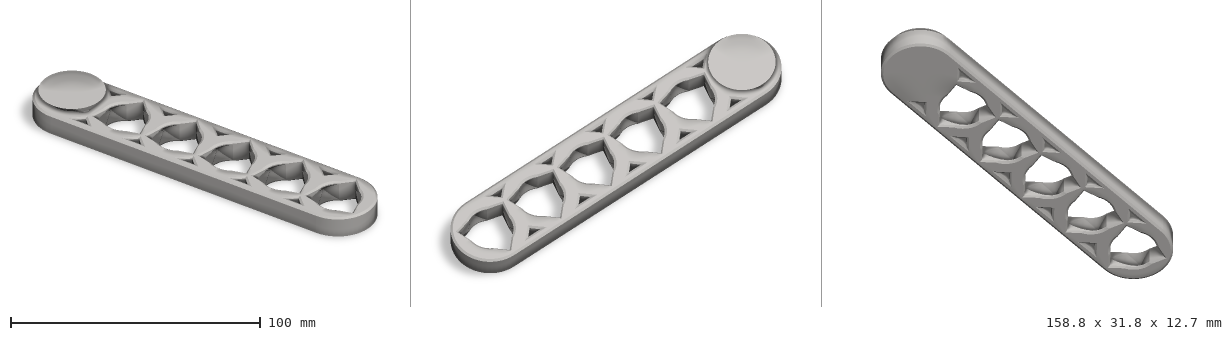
import cadquery as cq
import math

length = 158.8
width = 31.8
bar_height = 9.5
edge_chamfer = 1.0
flare_depth = 0.6

pitch = 25.4
station_count = 6
first_station = -(length - width) / 2

bore_diameter = 18.7
bore_radius = bore_diameter / 2
tip_radius = 12.9
tip_angles = (90, 210, 330)
window_flare = edge_chamfer

lock_angle = 60
lock_radius = 13.0
track_step = 0.5
track_radius = lock_radius - track_step

triangle_half_base = 3.0
triangle_base_y = 12.4
triangle_tip_y = 9.4
triangle_flare_half_base = 5.5
triangle_flare_base_y = 13.5
triangle_flare_tip_y = 8.3

head_radius = 13.5
stud_height = 3.2
neck_radius = head_radius - stud_height
stud_tip_radius = 13.8
stud_top_tip_radius = 18.1
stud_tip_cut_radius = 12.7
stud_tip_straight = 1.0


def lofted(bottom_points, top_points, height):
    """Solid from one polygon at Z = 0 to another at the given height."""
    return (
        cq.Workplane("XY")
        .polyline(bottom_points)
        .close()
        .workplane(offset=height)
        .polyline(top_points)
        .close()
        .loft(ruled=True)
    )


def square_tip(reach):
    """Square with one corner on the axis and the opposite one at the given reach along X."""
    half = reach / 2
    return [(0, 0), (half, -half), (reach, 0), (half, half)]


def with_tips(body, wedge):
    """The body joined to one copy of the wedge at every tip angle."""
    for angle in tip_angles:
        body = body.union(wedge.rotate((0, 0, 0), (0, 0, 1), angle))
    return body


def keyhole(height, flare=0.0):
    """Prism with the keyhole outline, its bore and tips reaching further out at the top by the flare."""
    body = (
        cq.Workplane("XY")
        .circle(bore_radius)
        .workplane(offset=height)
        .circle(bore_radius + flare)
        .loft()
    )
    wedge = lofted(square_tip(tip_radius), square_tip(tip_radius + flare), height)
    return with_tips(body, wedge)


def both_faces(flare_cut):
    """The flare at the top face of the bar, with its mirror image at the bottom face."""
    top = flare_cut.translate((0, 0, bar_height - flare_depth))
    return top.union(top.mirror("XY").translate((0, 0, bar_height)))


def double_cone(radius):
    """Two 45-degree cones, base to base at mid-height of the bar."""
    middle = bar_height / 2
    end_radius = radius - middle
    return (
        cq.Workplane("XZ")
        .polyline([(0, 0), (end_radius, 0), (radius, middle), (end_radius, bar_height), (0, bar_height)])
        .close()
        .revolve(360, (0, 0, 0), (0, 1, 0))
    )


def sector(end_angle):
    """Prism over the angle swept by one tip as it turns into the lock."""
    reach = 2 * lock_radius
    corners = [(0, 0)]
    for angle in (end_angle - lock_angle, end_angle):
        turn = math.radians(angle)
        corners.append((reach * math.cos(turn), reach * math.sin(turn)))
    return cq.Workplane("XY").polyline(corners).close().extrude(bar_height)


def locking_groove():
    """Lock pockets in the keyhole shape, joined to the shallower track leading to each of them."""
    locked_tips = keyhole(bar_height).rotate((0, 0, 0), (0, 0, 1), -lock_angle)
    groove = locked_tips.intersect(double_cone(lock_radius))
    track = double_cone(track_radius)
    for angle in tip_angles:
        groove = groove.union(track.intersect(sector(angle)))
    return groove


def window():
    """Flared keyhole opening with its locking groove, centred on the Z axis."""
    flares = both_faces(keyhole(flare_depth, window_flare))
    return keyhole(bar_height).union(flares).union(locking_groove())


def triangle_points(half_base, base_y, tip_y):
    return [(-half_base, base_y), (half_base, base_y), (0, tip_y)]


def triangle():
    """Flared triangular opening on the +Y side, pointing at the centreline."""
    inner = triangle_points(triangle_half_base, triangle_base_y, triangle_tip_y)
    outer = triangle_points(triangle_flare_half_base, triangle_flare_base_y, triangle_flare_tip_y)
    flares = both_faces(lofted(inner, outer, flare_depth))
    return lofted(inner, inner, bar_height).union(flares)


def make_bar():
    bar = cq.Workplane("XY").slot2D(length, width).extrude(bar_height)
    bar = bar.faces("|Z").edges().chamfer(flare_depth, edge_chamfer)
    window_cut = window()
    upper_triangle = triangle()
    lower_triangle = upper_triangle.mirror("XZ")
    for station in range(1, station_count):
        x = first_station + pitch * station
        bar = bar.cut(window_cut.translate((x, 0, 0)))
        for triangle_cut in (upper_triangle, lower_triangle):
            bar = bar.cut(triangle_cut.translate((x - pitch / 2, 0, 0)))
    return bar


def stud_tip():
    """One tip of the stud, pointing along X: upright at the foot, then blending out towards the head."""
    foot = square_tip(stud_tip_radius)
    lean_height = stud_height - stud_tip_straight
    leaning = lofted(foot, square_tip(stud_top_tip_radius), lean_height).translate((0, 0, stud_tip_straight))
    wedge = lofted(foot, foot, stud_tip_straight).union(leaning)
    limit = (
        cq.Workplane("XZ")
        .moveTo(0, 0)
        .lineTo(stud_tip_cut_radius, 0)
        .lineTo(stud_tip_cut_radius, stud_tip_straight)
        .lineTo(head_radius, stud_height)
        .lineTo(0, stud_height)
        .close()
        .revolve(360, (0, 0, 0), (0, 1, 0))
    )
    return wedge.intersect(limit)


def make_stud():
    """Three-tipped stud standing on the bar, widening upwards into a round head."""
    cone = (
        cq.Workplane("XY")
        .circle(neck_radius)
        .workplane(offset=stud_height)
        .circle(head_radius)
        .loft()
    )
    return with_tips(cone, stud_tip()).translate((first_station, 0, bar_height))


bar = make_bar()
stud = make_stud()
result = cq.Compound.makeCompound([*bar.solids().vals(), *stud.solids().vals()])